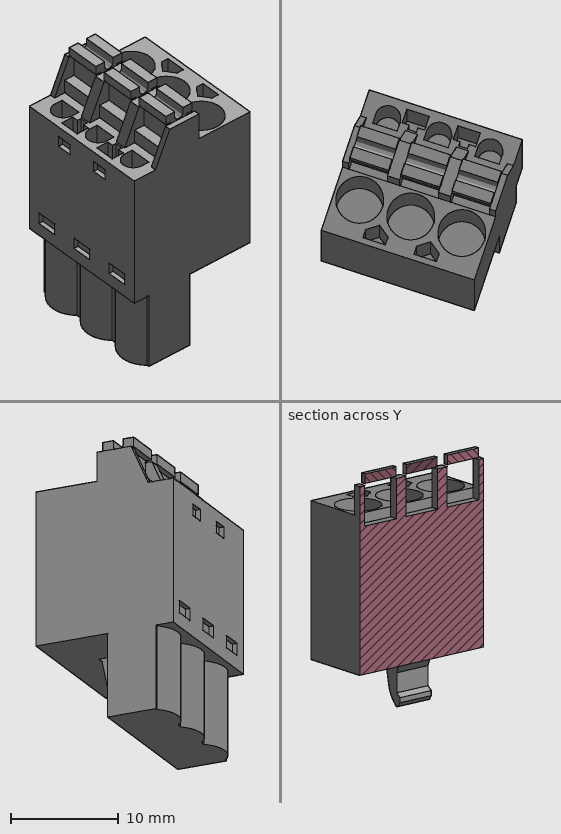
import cadquery as cq


POLES = 3
PITCH = 5.0
WIDTH = POLES * PITCH
pole_x = [(i - (POLES - 1) / 2) * PITCH for i in range(POLES)]
between_x = [(a + b) / 2 for a, b in zip(pole_x, pole_x[1:])]

DEPTH = 14.2
BLOCK_BOTTOM = 8.33
LEDGE_TOP = 22.7
REAR_TOP = 23.7
TOWER_TOP = 26.6
TOWER_BACK = 7.9
TOWER_FRONT = 4.35
SLOPE_FOOT = 2.6

PLUG_BACK = 6.8
PLUG_FRONT = 1.78
BARREL_WIDTH = 4.5
BARREL_BULGE = 1.04

DRIVER_DIAMETER = 4.43
DRIVER_Y = 10.35
WIRE_WIDTH = 2.4
WIRE_BACK = 2.9
WIRE_FRONT = 0.82
TEST_WIDTH = 2.2
TEST_BACK = 2.0
TEST_FRONT = 0.64
TEST_NECK_WIDTH = 0.87
TEST_NECK_BACK = 2.43
KEY_WIDTH = 2.2
KEY_BACK = 13.65
KEY_SHOULDER = 12.85
KEY_TIP = 12.05
OPENING_DEPTH = 6.0
UPPER_WINDOW = (1.62, 1.14)
UPPER_WINDOW_Z = 21.0
LOWER_WINDOW = (2.24, 1.22)
LOWER_WINDOW_Z = 10.34
WINDOW_DEPTH = 0.5

HOOK_WIDTH = 3.8

LEVER_WIDTH = 3.8
LEVER_TOP = 27.73
LEVER_Y = 5.98
HEAD_LENGTH = 3.2
HEAD_BOTTOM = 26.77
STEM_LENGTH = 2.0
FOOT_FRONT = 3.83
FOOT_TOP = 24.17
GROOVE_WIDTH = 1.02
GROOVE_BOTTOM = 26.7


def extrude_across(side_outline, width, x=0.0):
    """Extrude a closed (Y, Z) outline by width along X, centred on x."""
    return side_outline.extrude(width / 2, both=True).translate((x, 0, 0))


def top_opening(outline, top):
    """Cutter that runs from the given top level straight down."""
    return outline.extrude(OPENING_DEPTH).translate((0, 0, top - OPENING_DEPTH))


def housing_block():
    outline = cq.Workplane("YZ").polyline([
        (0, BLOCK_BOTTOM),
        (DEPTH, BLOCK_BOTTOM),
        (DEPTH, REAR_TOP),
        (TOWER_BACK, REAR_TOP),
        (TOWER_BACK, TOWER_TOP),
        (TOWER_FRONT, TOWER_TOP),
        (SLOPE_FOOT, LEDGE_TOP),
        (0, LEDGE_TOP),
    ]).close()
    return extrude_across(outline, WIDTH)


def plug():
    """Rectangular bar with one bulging barrel front per pole."""
    body = cq.Workplane("XY").box(
        WIDTH, PLUG_BACK - PLUG_FRONT, BLOCK_BOTTOM, centered=(True, False, False)
    ).translate((0, PLUG_FRONT, 0))
    for x in pole_x:
        barrel = (
            cq.Workplane("XY")
            .moveTo(x - BARREL_WIDTH / 2, PLUG_FRONT)
            .threePointArc((x, PLUG_FRONT - BARREL_BULGE), (x + BARREL_WIDTH / 2, PLUG_FRONT))
            .close()
            .extrude(BLOCK_BOTTOM)
        )
        body = body.union(barrel)
    return body


def latch_hook():
    """Flexible hook hanging from the block, with its nose toward the plug."""
    root = BLOCK_BOTTOM
    outline = (
        cq.Workplane("YZ")
        .moveTo(10.39, root)
        .lineTo(10.07, root - 0.28)
        .lineTo(9.59, root - 2.63)
        .threePointArc((9.28, root - 3.4), (8.7, root - 4.12))
        .threePointArc((8.36, root - 4.31), (8.15, root - 4.12))
        .lineTo(7.98, root - 3.84)
        .lineTo(7.98, root - 3.35)
        .lineTo(8.45, root - 2.98)
        .lineTo(8.45, root - 1.04)
        .lineTo(8.08, root)
        .close()
    )
    return extrude_across(outline, HOOK_WIDTH)


def lever_slot(x):
    """Open slot through the tower, down to the level of the front ledge."""
    return cq.Workplane("XY").box(
        LEVER_WIDTH, TOWER_BACK, TOWER_TOP - LEDGE_TOP, centered=(True, False, False)
    ).translate((x, 0, LEDGE_TOP))


def driver_hole(x):
    outline = cq.Workplane("XY").center(x, DRIVER_Y).circle(DRIVER_DIAMETER / 2)
    return top_opening(outline, REAR_TOP)


def wire_hole(x):
    """D-shaped hole with its round side to the front."""
    radius = WIRE_WIDTH / 2
    arc_y = WIRE_FRONT + radius
    outline = (
        cq.Workplane("XY")
        .moveTo(x - radius, WIRE_BACK)
        .lineTo(x - radius, arc_y)
        .threePointArc((x, WIRE_FRONT), (x + radius, arc_y))
        .lineTo(x + radius, WIRE_BACK)
        .close()
    )
    return top_opening(outline, LEDGE_TOP)


def test_slot(x):
    """Rectangular test opening with a narrow neck to the rear."""
    half = TEST_WIDTH / 2
    neck = TEST_NECK_WIDTH / 2
    outline = cq.Workplane("XY").polyline([
        (x - half, TEST_FRONT),
        (x + half, TEST_FRONT),
        (x + half, TEST_BACK),
        (x + neck, TEST_BACK),
        (x + neck, TEST_NECK_BACK),
        (x - neck, TEST_NECK_BACK),
        (x - neck, TEST_BACK),
        (x - half, TEST_BACK),
    ]).close()
    return top_opening(outline, LEDGE_TOP)


def key_slot(x):
    """Five-sided opening that points to the front."""
    half = KEY_WIDTH / 2
    outline = cq.Workplane("XY").polyline([
        (x - half, KEY_BACK),
        (x - half, KEY_SHOULDER),
        (x, KEY_TIP),
        (x + half, KEY_SHOULDER),
        (x + half, KEY_BACK),
    ]).close()
    return top_opening(outline, REAR_TOP)


def front_window(x, z, size):
    width, height = size
    return cq.Workplane("XY").box(
        width, WINDOW_DEPTH, height, centered=(True, False, True)
    ).translate((x, 0, z))


def make_housing():
    body = housing_block().union(plug()).union(latch_hook())
    for x in pole_x:
        body = body.cut(lever_slot(x))
        body = body.cut(driver_hole(x))
        body = body.cut(wire_hole(x))
        body = body.cut(front_window(x, LOWER_WINDOW_Z, LOWER_WINDOW))
    for x in between_x:
        body = body.cut(test_slot(x))
        body = body.cut(key_slot(x))
        body = body.cut(front_window(x, UPPER_WINDOW_Z, UPPER_WINDOW))
    return body


def make_lever(x):
    """Stepped stem standing in its slot, with a wider head grooved along X."""
    stem_front = LEVER_Y - STEM_LENGTH / 2
    stem_back = LEVER_Y + STEM_LENGTH / 2
    head_front = LEVER_Y - HEAD_LENGTH / 2
    head_back = LEVER_Y + HEAD_LENGTH / 2
    groove_radius = GROOVE_WIDTH / 2
    groove_arc_z = GROOVE_BOTTOM + groove_radius
    outline = (
        cq.Workplane("YZ")
        .moveTo(FOOT_FRONT, LEDGE_TOP)
        .lineTo(FOOT_FRONT, FOOT_TOP)
        .lineTo(stem_front, FOOT_TOP)
        .lineTo(stem_front, HEAD_BOTTOM)
        .lineTo(head_front, HEAD_BOTTOM)
        .lineTo(head_front, LEVER_TOP)
        .lineTo(LEVER_Y - groove_radius, LEVER_TOP)
        .lineTo(LEVER_Y - groove_radius, groove_arc_z)
        .threePointArc((LEVER_Y, GROOVE_BOTTOM), (LEVER_Y + groove_radius, groove_arc_z))
        .lineTo(LEVER_Y + groove_radius, LEVER_TOP)
        .lineTo(head_back, LEVER_TOP)
        .lineTo(head_back, HEAD_BOTTOM)
        .lineTo(stem_back, HEAD_BOTTOM)
        .lineTo(stem_back, LEDGE_TOP)
        .close()
    )
    return extrude_across(outline, LEVER_WIDTH, x)


housing = make_housing()
levers = [make_lever(x) for x in pole_x]
result = cq.Compound.makeCompound([housing.val(), *[lever.val() for lever in levers]])